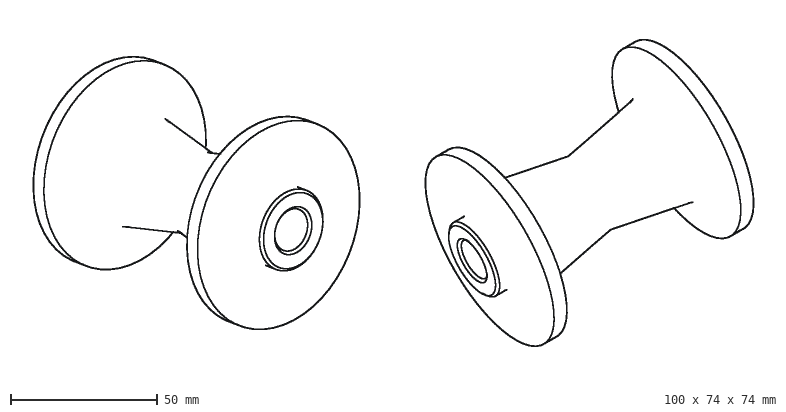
import cadquery as cq
import math

half_length = 50.0
hub_radius = 14.5
end_chamfer = 1.0
bore_radius = 7.5

flange_radius = 37.0
flange_outer_x = 42.5
rim_width = 5.5
flange_slope = 15.0

waist_radius = 14.5
root_radius = 20.5
fillet_radius = 2.0

rim_inner_x = flange_outer_x - rim_width
root_x = rim_inner_x - (flange_radius - root_radius) * math.tan(math.radians(flange_slope))


def mirrored(points):
    """The same points on the -X side, in reverse order."""
    return [(-x, radius) for x, radius in reversed(points)]


def make_body():
    """Solid roller with sharp corners, from half of its section."""
    right_half = [
        (root_x, root_radius),
        (rim_inner_x, flange_radius),
        (flange_outer_x, flange_radius),
        (flange_outer_x, hub_radius),
        (half_length - end_chamfer, hub_radius),
        (half_length, hub_radius - end_chamfer),
        (half_length, 0),
    ]
    outline = mirrored(right_half) + [(0, waist_radius)] + right_half
    section = cq.Workplane("XZ").polyline(outline).close()
    return section.revolve(360, (0, 0, 0), (1, 0, 0))


def fillet_corner(body, x, radius):
    """Round the circular edge of the given radius at position x."""
    def is_corner(edge):
        if edge.geomType() != "CIRCLE":
            return False
        return math.isclose(edge.Center().x, x, abs_tol=1e-4) and math.isclose(
            edge.radius(), radius, abs_tol=1e-4
        )

    corner = [edge for edge in body.edges().vals() if is_corner(edge)]
    return body.newObject(corner).fillet(fillet_radius)


def make_bore():
    """Through bore with a chamfered mouth at each end, as a cutting tool."""
    mouth_radius = bore_radius + end_chamfer
    right_half = [
        (half_length - end_chamfer, bore_radius),
        (half_length, mouth_radius),
        (half_length, 0),
    ]
    section = cq.Workplane("XZ").polyline(mirrored(right_half) + right_half).close()
    return section.revolve(360, (0, 0, 0), (1, 0, 0))


roller = fillet_corner(make_body(), 0, waist_radius)
for side in (-1, 1):
    roller = fillet_corner(roller, side * root_x, root_radius)
    roller = fillet_corner(roller, side * flange_outer_x, hub_radius)

result = roller.cut(make_bore())